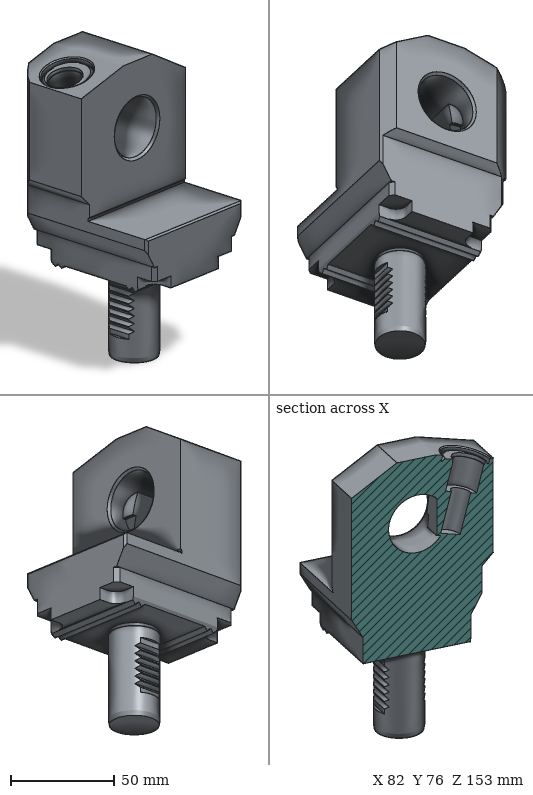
import cadquery as cq
import math


TOTAL_HEIGHT = 153.0
SEAT_Z = 48.8
FLANGE_BOTTOM_Z = 49.3
SHELF_Z = 79.3
HEAD_BOTTOM_Z = 88.1
OVERLAP = 1.5

FLANGE_HALF_X = 39.0
FLANGE_HALF_Y = 35.0
FOOT_HALF_Y = 29.0
FOOT_TOP_Z = 63.2
FOOT_SLOPE = math.radians(60)
FOOT_CORNER = 2.1
TURNED_RADIUS = 51.5
SHELF_CHAMFER = 0.9

NOTCH_INNER_X = 28.0
NOTCH_INNER_Y = 17.3
NOTCH_TOP_Z = 55.5
NOTCH_RADIUS = 5.8

PAD_BEVEL_Z = 50.5
PAD_BEVEL = 0.8
TOOTH_PITCH = 4.1
TOOTH_DEPTH = 1.8
TEETH_PER_SIDE = 2

SHANK_RADIUS = 25.0 / 2
NECK_RADIUS = 24.2 / 2
NECK_LENGTH = 1.5
TIP_TAPER_LENGTH = 2.5
FLAT_Y = 10.9
FLAT_BOTTOM_Z = 12.2
FLAT_TOP_Z = 41.0
RACK_GROOVES = 6
RACK_PITCH = 4.0
RACK_FIRST_Z = 16.5
RACK_HALF_HEIGHT = 1.7
RACK_DEPTH = 1.5

HEAD_LEFT_X = -43.0
HEAD_RIGHT_X = 2.1
HEAD_FRONT_Y = -41.0
RIDGE_FRONT_Y = -10.3
RIDGE_BACK_Y = 10.7
FRONT_SLOPE = math.radians(15)
BACK_SLOPE = math.radians(30)
RELIEF_DEPTH = 0.9
RELIEF_HEIGHT = 2.1

BORE_Y = -0.3
BORE_Z = TOTAL_HEIGHT - 35.0
BORE_RADIUS = 30.6 / 2
BORE_CHAMFER = 1.2

SCREW_X = -19.9
SCREW_Y = -26.6
SCREW_RADIUS = 26.0 / 2
MOUTH_CHAMFER = 0.6
SCREW_TOP_RADIUS = 22.6 / 2
SCREW_TOP_DEPTH = 1.7
SCREW_END_DEPTH = 41.9
SCREW_STEP_DEPTH = 35.0
SOCKET_RADIUS = 17.0 / 2
SOCKET_DEPTH = 16.8
SOCKET_OFFSET = 2.0
SOCKET_RIM_RADIUS = 17.7 / 2
SOCKET_RIM_DEPTH = 1.8
PORT_RADIUS = 10.5 / 2
PORT_DEPTH = 22.0
CLAMP_FLAT_Y = -10.5


def box(x_min, x_max, y_min, y_max, z_min, z_max):
    size = (x_max - x_min, y_max - y_min, z_max - z_min)
    return cq.Workplane("XY").box(*size, centered=False).translate((x_min, y_min, z_min))


def extrude_along_x(points_yz, x_min, x_max):
    return cq.Workplane("YZ", origin=(x_min, 0, 0)).polyline(points_yz).close().extrude(x_max - x_min)


def extrude_along_y(points_xz, y_min, y_max):
    return cq.Workplane("XZ", origin=(0, y_max, 0)).polyline(points_xz).close().extrude(y_max - y_min)


def revolve_on(plane, points_rz):
    return cq.Workplane(plane).polyline(points_rz).close().revolve(360, (0, 0), (0, 1))


def make_flange():
    slope_top_z = FOOT_TOP_Z + (FLANGE_HALF_Y - FOOT_HALF_Y) * math.tan(FOOT_SLOPE)
    upper = extrude_along_x(
        [
            (-FOOT_HALF_Y, FOOT_TOP_Z),
            (FOOT_HALF_Y, FOOT_TOP_Z),
            (FLANGE_HALF_Y, slope_top_z),
            (FLANGE_HALF_Y, SHELF_Z),
            (-FLANGE_HALF_Y, SHELF_Z),
            (-FLANGE_HALF_Y, slope_top_z),
        ],
        -FLANGE_HALF_X,
        FLANGE_HALF_X,
    )
    upper = upper.faces(">X").edges(">Z").chamfer(SHELF_CHAMFER)

    foot = box(-FLANGE_HALF_X, FLANGE_HALF_X, -FOOT_HALF_Y, FOOT_HALF_Y, FLANGE_BOTTOM_Z, FOOT_TOP_Z)
    foot = foot.edges("|Z").chamfer(FOOT_CORNER)
    for side_x in (-1, 1):
        for side_y in (-1, 1):
            foot = foot.cut(make_corner_notch(side_x, side_y))
    foot = foot.cut(
        box(-NOTCH_INNER_X, NOTCH_INNER_X, -FOOT_HALF_Y, FOOT_HALF_Y, FLANGE_BOTTOM_Z, PAD_BEVEL_Z)
    )
    return upper.union(foot)


def make_corner_notch(side_x, side_y):
    length = FLANGE_HALF_X - NOTCH_INNER_X + OVERLAP
    width = FOOT_HALF_Y - NOTCH_INNER_Y + OVERLAP
    height = NOTCH_TOP_Z - FLANGE_BOTTOM_Z + OVERLAP
    center_x = side_x * (NOTCH_INNER_X + length / 2)
    center_y = side_y * (NOTCH_INNER_Y + width / 2)
    notch = cq.Workplane("XY").box(length, width, height)
    inner_x = "<X" if side_x > 0 else ">X"
    inner_y = "<Y" if side_y > 0 else ">Y"
    notch = notch.faces(inner_x).edges(inner_y).fillet(NOTCH_RADIUS)
    return notch.translate((center_x, center_y, NOTCH_TOP_Z - height / 2))


def make_pad():
    """Pad with V teeth running along Y; its long edges lean inwards down to the tooth tips."""
    tip_z = SEAT_Z - TOOTH_DEPTH
    teeth_width = TEETH_PER_SIDE * TOOTH_PITCH
    outline = [(-NOTCH_INNER_X, PAD_BEVEL_Z)]
    for start_x in (-NOTCH_INNER_X, NOTCH_INNER_X - teeth_width):
        outline.append((start_x, SEAT_Z))
        for index in range(TEETH_PER_SIDE):
            tooth_x = start_x + index * TOOTH_PITCH
            outline.append((tooth_x + TOOTH_PITCH / 2, tip_z))
            outline.append((tooth_x + TOOTH_PITCH, SEAT_Z))
    outline.append((NOTCH_INNER_X, PAD_BEVEL_Z))
    toothed_plate = extrude_along_y(outline, -FOOT_HALF_Y, FOOT_HALF_Y)

    leaning_sides = extrude_along_x(
        [
            (-FOOT_HALF_Y, PAD_BEVEL_Z),
            (FOOT_HALF_Y, PAD_BEVEL_Z),
            (FOOT_HALF_Y - PAD_BEVEL, tip_z),
            (PAD_BEVEL - FOOT_HALF_Y, tip_z),
        ],
        -NOTCH_INNER_X,
        NOTCH_INNER_X,
    )
    return toothed_plate.intersect(leaning_sides)


def make_shank():
    neck_bottom_z = SEAT_Z - NECK_LENGTH
    shoulder = SHANK_RADIUS - NECK_RADIUS
    shank = revolve_on(
        "XZ",
        [
            (0, 0),
            (NECK_RADIUS, 0),
            (SHANK_RADIUS, TIP_TAPER_LENGTH),
            (SHANK_RADIUS, neck_bottom_z - shoulder),
            (NECK_RADIUS, neck_bottom_z),
            (NECK_RADIUS, SEAT_Z + OVERLAP),
            (0, SEAT_Z + OVERLAP),
        ],
    )
    for side in (-1, 1):
        shank = shank.cut(make_rack_cut(side))
    return shank


def make_rack_cut(side):
    """Flat with V grooves across it on one side of the shank."""
    flat_y = side * FLAT_Y
    outer_y = side * (SHANK_RADIUS + OVERLAP)
    outline = [(outer_y, FLAT_BOTTOM_Z), (flat_y, FLAT_BOTTOM_Z)]
    for index in range(RACK_GROOVES):
        root_z = RACK_FIRST_Z + index * RACK_PITCH
        outline.append((flat_y, root_z - RACK_HALF_HEIGHT))
        outline.append((side * (FLAT_Y - RACK_DEPTH), root_z))
        outline.append((flat_y, root_z + RACK_HALF_HEIGHT))
    outline += [(flat_y, FLAT_TOP_Z), (outer_y, FLAT_TOP_Z)]
    return extrude_along_x(outline, -SHANK_RADIUS, SHANK_RADIUS)


def make_head():
    """Ridge-topped block whose front and left sides overhang the flange on bevels."""
    front_top_z = TOTAL_HEIGHT - (RIDGE_FRONT_Y - HEAD_FRONT_Y) * math.tan(FRONT_SLOPE)
    back_top_z = TOTAL_HEIGHT - (FLANGE_HALF_Y - RIDGE_BACK_Y) * math.tan(BACK_SLOPE)
    front_overhang = -FLANGE_HALF_Y - HEAD_FRONT_Y
    left_overhang = -FLANGE_HALF_X - HEAD_LEFT_X
    foot_z = SHELF_Z - OVERLAP
    side_profile = extrude_along_x(
        [
            (FLANGE_HALF_Y, foot_z),
            (FLANGE_HALF_Y, back_top_z),
            (RIDGE_BACK_Y, TOTAL_HEIGHT),
            (RIDGE_FRONT_Y, TOTAL_HEIGHT),
            (HEAD_FRONT_Y, front_top_z),
            (HEAD_FRONT_Y, HEAD_BOTTOM_Z + front_overhang),
            (-FLANGE_HALF_Y, HEAD_BOTTOM_Z),
            (-FLANGE_HALF_Y, foot_z),
        ],
        HEAD_LEFT_X,
        HEAD_RIGHT_X,
    )
    front_profile = extrude_along_y(
        [
            (-FLANGE_HALF_X, foot_z),
            (-FLANGE_HALF_X, HEAD_BOTTOM_Z),
            (HEAD_LEFT_X, HEAD_BOTTOM_Z + left_overhang),
            (HEAD_LEFT_X, TOTAL_HEIGHT),
            (HEAD_RIGHT_X, TOTAL_HEIGHT),
            (HEAD_RIGHT_X, SHELF_Z + RELIEF_HEIGHT),
            (HEAD_RIGHT_X - RELIEF_DEPTH, SHELF_Z + RELIEF_HEIGHT - RELIEF_DEPTH),
            (HEAD_RIGHT_X - RELIEF_DEPTH, foot_z),
        ],
        HEAD_FRONT_Y,
        FLANGE_HALF_Y,
    )
    return side_profile.intersect(front_profile)


def make_bore():
    """Round hole through the head, bevelled at both ends."""
    mouth_radius = BORE_RADIUS + BORE_CHAMFER
    length = HEAD_RIGHT_X - HEAD_LEFT_X
    plane = cq.Plane(origin=(HEAD_LEFT_X, BORE_Y, BORE_Z), xDir=(0, 0, 1), normal=(0, 1, 0))
    return revolve_on(
        plane,
        [
            (0, 0),
            (mouth_radius, 0),
            (BORE_RADIUS, BORE_CHAMFER),
            (BORE_RADIUS, length - BORE_CHAMFER),
            (mouth_radius, length),
            (0, length),
        ],
    )


def screw_plane():
    """Local Y points out of the head along the screw axis; its origin lies on the sloped face."""
    surface_z = TOTAL_HEIGHT - (RIDGE_FRONT_Y - SCREW_Y) * math.tan(FRONT_SLOPE)
    normal = (0, math.cos(FRONT_SLOPE), math.sin(FRONT_SLOPE))
    return cq.Plane(origin=(SCREW_X, SCREW_Y, surface_z), xDir=(-1, 0, 0), normal=normal)


def make_screw_recess():
    """Countersunk mouth, with a bevelled rim left standing around the screw top."""
    groove_depth = SCREW_TOP_DEPTH + SCREW_RADIUS - SCREW_TOP_RADIUS
    return revolve_on(
        screw_plane(),
        [
            (0, 0),
            (SCREW_RADIUS + MOUTH_CHAMFER, 0),
            (SCREW_RADIUS, -MOUTH_CHAMFER),
            (SCREW_RADIUS, -groove_depth),
            (SCREW_TOP_RADIUS, -SCREW_TOP_DEPTH),
            (0, -SCREW_TOP_DEPTH),
        ],
    )


def make_screw_socket():
    """Stepped blind hole in the screw top."""
    socket_floor = SCREW_TOP_DEPTH + SOCKET_DEPTH
    port_floor = socket_floor + PORT_DEPTH
    socket = revolve_on(
        screw_plane(),
        [
            (0, -SCREW_TOP_DEPTH),
            (SOCKET_RIM_RADIUS, -SCREW_TOP_DEPTH),
            (SOCKET_RIM_RADIUS, -SCREW_TOP_DEPTH - SOCKET_RIM_DEPTH),
            (SOCKET_RADIUS, -SCREW_TOP_DEPTH - SOCKET_RIM_DEPTH),
            (SOCKET_RADIUS, -socket_floor),
            (PORT_RADIUS, -socket_floor),
            (PORT_RADIUS, -port_floor),
            (0, -port_floor),
        ],
    )
    shift_y = -SOCKET_OFFSET * math.cos(FRONT_SLOPE)
    shift_z = -SOCKET_OFFSET * math.sin(FRONT_SLOPE)
    return socket.translate((0, shift_y, shift_z))


def make_screw_tip():
    """Lower end of the screw, which stands in the bore with a flat towards the tool."""
    tip = revolve_on(
        screw_plane(),
        [
            (0, -SCREW_TOP_DEPTH - SOCKET_DEPTH),
            (SCREW_RADIUS, -SCREW_TOP_DEPTH - SOCKET_DEPTH),
            (SCREW_RADIUS, -SCREW_STEP_DEPTH),
            (SCREW_TOP_RADIUS, -SCREW_STEP_DEPTH),
            (SCREW_TOP_RADIUS, -SCREW_END_DEPTH),
            (0, -SCREW_END_DEPTH),
        ],
    )
    keep = box(HEAD_LEFT_X, HEAD_RIGHT_X, HEAD_FRONT_Y, CLAMP_FLAT_Y, HEAD_BOTTOM_Z, TOTAL_HEIGHT)
    return tip.intersect(keep)


body = make_flange().union(make_head())
turned_envelope = cq.Workplane("XY").circle(TURNED_RADIUS).extrude(TOTAL_HEIGHT)
body = body.intersect(turned_envelope)
body = body.union(make_pad()).union(make_shank())
body = body.cut(make_bore()).union(make_screw_tip())
result = body.cut(make_screw_recess()).cut(make_screw_socket())